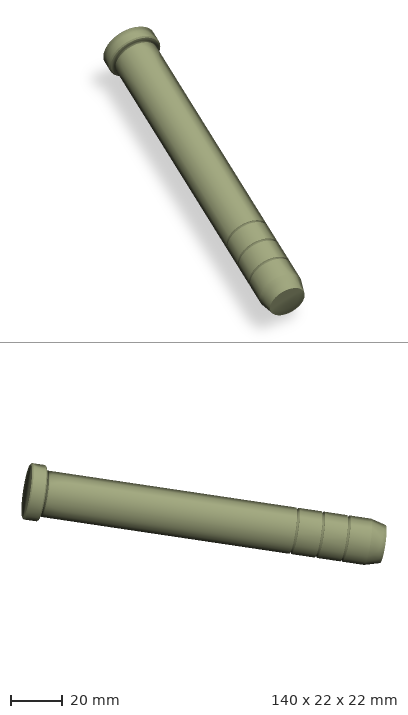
import cadquery as cq
import math

total_length = 140.0
head_diameter = 22.0
head_length = 6.0
head_chamfer = 0.5
shank_diameter = 18.0

taper_length = 6.0
taper_angle = 15.0

groove_width = 1.0
groove_depth = groove_width / 2
groove_count = 3
first_groove_center = 105.0
last_groove_center = 125.0
groove_pitch = (last_groove_center - first_groove_center) / (groove_count - 1)
relief_center = head_length + groove_width / 2


def cylinder_along_x(length, diameter):
    """Solid cylinder on the X axis beginning at the origin."""
    return cq.Workplane("YZ").circle(diameter / 2).extrude(length)


def make_head():
    """Disc head with both rims chamfered."""
    return cylinder_along_x(head_length, head_diameter).edges().chamfer(head_chamfer)


def make_shank():
    """Plain shank, tapered at its free end."""
    taper_drop = taper_length * math.tan(math.radians(taper_angle))
    shank = cylinder_along_x(total_length, shank_diameter)
    return shank.faces(">X").edges().chamfer(taper_length, taper_drop)


def make_groove_cutter(center):
    """Ring with an arc-shaped inner side, centred at x = center."""
    surface = shank_diameter / 2
    outside = surface + groove_depth
    left = center - groove_width / 2
    right = center + groove_width / 2
    return (
        cq.Workplane("XY")
        .moveTo(left, outside)
        .lineTo(left, surface)
        .threePointArc((center, surface - groove_depth), (right, surface))
        .lineTo(right, outside)
        .close()
        .revolve(360, (0, 0, 0), (1, 0, 0))
    )


groove_centers = [relief_center]
for index in range(groove_count):
    groove_centers.append(first_groove_center + index * groove_pitch)

shank = make_shank()
for center in groove_centers:
    shank = shank.cut(make_groove_cutter(center))

result = make_head().union(shank)